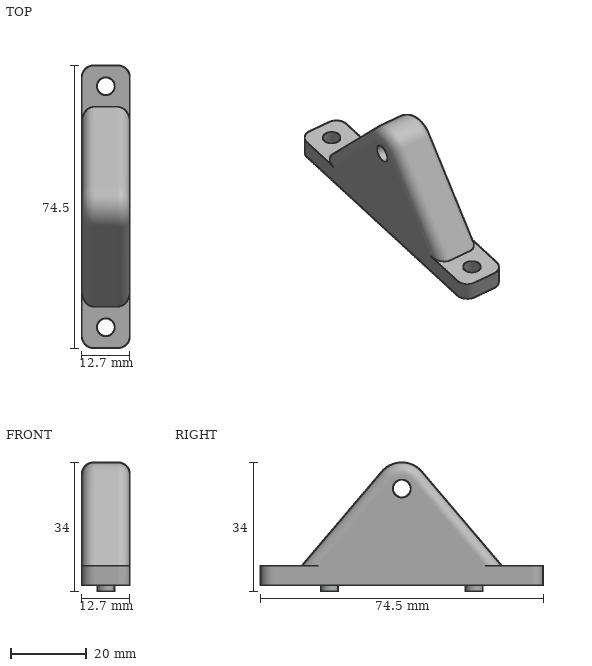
import cadquery as cq
import math

length = 74.5
width = 12.7
base_height = 5.2
edge_radius = 3.2

hole_diameter = 4.6
mount_offset = 31.7
pin_offset = 19.1
pin_length = 1.6

top_height = 33.95 - pin_length
apex_radius = 6.9
foot_half_length = 26.3
pivot_height = top_height - apex_radius


def make_base():
    plate = cq.Workplane("XY").box(width, length, base_height, centered=(True, True, False))
    plate = plate.edges("|Z").fillet(edge_radius)
    mounts = [(0, -mount_offset), (0, mount_offset)]
    return plate.faces(">Z").workplane().pushPoints(mounts).hole(hole_diameter)


def make_upright():
    rise = pivot_height - base_height
    foot_distance = math.hypot(foot_half_length, rise)
    tangent_angle = math.acos(apex_radius / foot_distance) - math.atan2(rise, foot_half_length)
    tangent_y = apex_radius * math.cos(tangent_angle)
    tangent_z = pivot_height + apex_radius * math.sin(tangent_angle)
    upright = (
        cq.Workplane("YZ")
        .moveTo(-foot_half_length, base_height)
        .lineTo(foot_half_length, base_height)
        .lineTo(tangent_y, tangent_z)
        .threePointArc((0, top_height), (-tangent_y, tangent_z))
        .close()
        .extrude(width / 2, both=True)
    )
    return upright.faces("<X or >X").edges("not <Z").fillet(edge_radius)


def make_pins():
    pin_places = [(0, -pin_offset), (0, pin_offset)]
    return cq.Workplane("XY").pushPoints(pin_places).circle(hole_diameter / 2).extrude(-pin_length)


def make_pivot_hole():
    return (
        cq.Workplane("YZ")
        .center(0, pivot_height)
        .circle(hole_diameter / 2)
        .extrude(width, both=True)
    )


result = make_base().union(make_upright()).union(make_pins()).cut(make_pivot_hole())